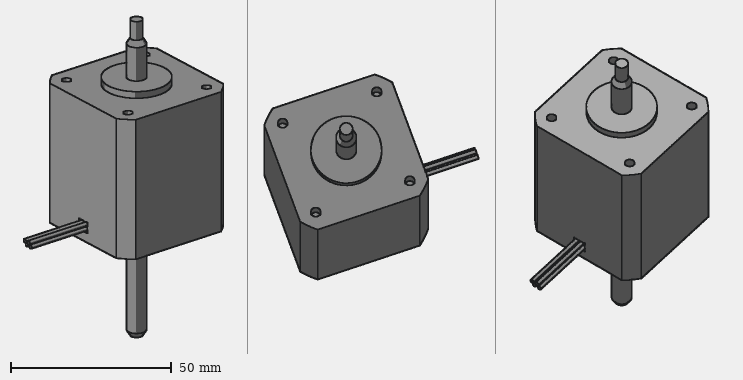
import cadquery as cq

housing_width = 42.2
housing_height = 47.7
corner_turning_diameter = 54.0
pilot_diameter = 22.0
pilot_height = 2.3

hole_spacing = 31.0
hole_diameter = 3.0
hole_depth = 4.5

pocket_width = 4.3
pocket_height = 3.6
pocket_bottom = 3.2
pocket_depth = 1.0
wire_diameter = 1.3
wire_reach = 21.8
wire_pitch = 1.9
wire_row_heights = (5.6, 4.5)

shaft_length = 108.0
shaft_bottom = -38.2
shaft_diameter = 6.4
neck_diameter = 4.0
neck_length = 6.4
cone_height = 1.9

front_y = -housing_width / 2
pocket_floor_y = front_y + pocket_depth
shaft_radius = shaft_diameter / 2
neck_radius = neck_diameter / 2
shaft_top = shaft_bottom + shaft_length


def make_shaft():
    """Revolved shaft with a tapered lower end and a stepped-down neck on top."""
    neck_bottom = shaft_top - neck_length
    return (
        cq.Workplane("XZ")
        .moveTo(0, shaft_bottom)
        .lineTo(neck_radius, shaft_bottom)
        .lineTo(shaft_radius, shaft_bottom + cone_height)
        .lineTo(shaft_radius, neck_bottom - cone_height)
        .lineTo(neck_radius, neck_bottom)
        .lineTo(neck_radius, shaft_top)
        .lineTo(0, shaft_top)
        .close()
        .revolve(360, (0, 0, 0), (0, 1, 0))
    )


def make_case():
    """Square case with corners turned to a common circle and a round pilot on its top face."""
    block = cq.Workplane("XY").rect(housing_width, housing_width).extrude(housing_height)
    turned_envelope = cq.Workplane("XY").circle(corner_turning_diameter / 2).extrude(housing_height)
    case = block.intersect(turned_envelope)
    pilot = (
        cq.Workplane("XY")
        .workplane(offset=housing_height)
        .circle(pilot_diameter / 2)
        .extrude(pilot_height)
    )
    return case.union(pilot)


def make_mounting_holes():
    """Cutters for the four blind holes in the top face."""
    return (
        cq.Workplane("XY")
        .workplane(offset=housing_height)
        .rect(hole_spacing, hole_spacing, forConstruction=True)
        .vertices()
        .circle(hole_diameter / 2)
        .extrude(-hole_depth)
    )


def make_shaft_bore():
    """Cutter for the through bore that the shaft fills."""
    return cq.Workplane("XY").circle(shaft_radius).extrude(housing_height + pilot_height)


def make_wire_pocket():
    """Cutter for the rectangular pocket in the front face."""
    return (
        cq.Workplane("XZ", origin=(0, pocket_floor_y, 0))
        .center(0, pocket_bottom + pocket_height / 2)
        .rect(pocket_width, pocket_height)
        .extrude(pocket_depth)
    )


def make_wires():
    """Two staggered rows of two wires, rooted on the pocket floor."""
    stagger = wire_pitch / 4
    upper_height, lower_height = wire_row_heights
    centres = []
    for row_shift, height in ((-stagger, upper_height), (stagger, lower_height)):
        for side in (-1, 1):
            centres.append((row_shift + side * wire_pitch / 2, height))
    return (
        cq.Workplane("XZ", origin=(0, pocket_floor_y, 0))
        .pushPoints(centres)
        .circle(wire_diameter / 2)
        .extrude(pocket_depth + wire_reach)
    )


def make_housing():
    """Housing with its bore, mounting holes, wire pocket and attached wires."""
    return (
        make_case()
        .cut(make_shaft_bore())
        .cut(make_mounting_holes())
        .cut(make_wire_pocket())
        .union(make_wires())
    )


housing = make_housing()
shaft = make_shaft()
result = cq.Compound.makeCompound([housing.val(), shaft.val()])